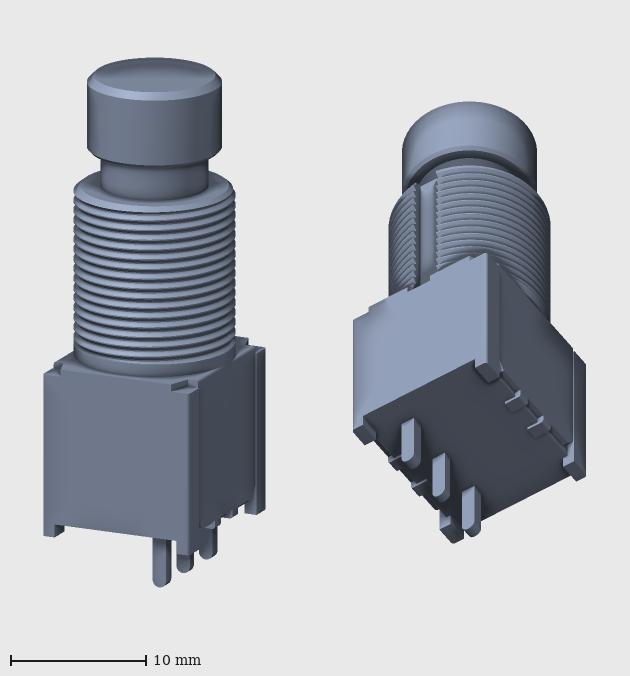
import cadquery as cq


housing_x = 12.0
housing_y = 13.4
corner_radius = 0.25
body_bottom = -12.0
foot_bottom = -13.0
foot_x = 1.0
window_y = 9.9

plate_thickness = 0.55
panel_recess = 0.1
panel_thickness = 0.5
panel_bottom = -11.55
panel_bend_radius = 0.25
panel_corner_y = 0.7
panel_corner_z = 0.8
notch_edge_x = 4.5
notch_inner_x = 5.1
tab_width = 1.0
tab_center_y = 1.5
tab_drop = 0.25
tab_thickness = 0.5

bushing_radius = 6.0
bushing_height = 13.0
bushing_chamfer_height = 0.4
bushing_chamfer_width = 0.5
slot_width = 2.0
slot_floor_y = 5.0

thread_pitch = 0.75
thread_depth = 0.3
groove_mouth = 0.66
groove_root = 0.1
thread_turns = 16.25
thread_start = 0.54
collar_height = 0.94

stem_radius = 4.0
cap_radius = 5.0
cap_top = 21.5
cap_bottom = 15.75
cap_top_chamfer = 0.5
cap_bottom_chamfer = 0.25

base_x = 9.0
base_y = 12.1

pin_x = 2.5
pin_width = 1.1
pin_spacing = 4.0
pin_tip = -16.5
outer_pin_thickness = 0.9
middle_pin_thickness = 0.7

plate_bottom = -plate_thickness
panel_outer_x = housing_x / 2 - panel_recess
panel_inner_x = panel_outer_x - panel_thickness
tab_bottom = body_bottom - tab_drop


def box(x_range, y_range, z_range):
    """Axis-aligned block between the given limits."""
    (x0, x1), (y0, y1), (z0, z1) = x_range, y_range, z_range
    return cq.Workplane("XY").box(x1 - x0, y1 - y0, z1 - z0, centered=False).translate((x0, y0, z0))


def centered_box(size_x, size_y, z_range):
    """Block centred on the Z axis."""
    return box((-size_x / 2, size_x / 2), (-size_y / 2, size_y / 2), z_range)


def thread_groove():
    """Right-handed helical groove of the bushing thread."""
    root_radius = bushing_radius - thread_depth
    overshoot = 0.1
    mouth_radius = bushing_radius + overshoot
    mouth = groove_mouth + overshoot * (groove_mouth - groove_root) / thread_depth
    path = cq.Wire.makeHelix(thread_pitch, thread_turns * thread_pitch, root_radius)
    groove = (
        cq.Workplane("XZ")
        .moveTo(root_radius, -groove_root / 2)
        .lineTo(mouth_radius, -mouth / 2)
        .lineTo(mouth_radius, mouth / 2)
        .lineTo(root_radius, groove_root / 2)
        .close()
        .sweep(cq.Workplane(path), isFrenet=True)
    )
    return groove.translate((0, 0, thread_start))


def make_bushing():
    """Threaded sleeve with a chamfered top, before its bore and key slot."""
    blank = (
        cq.Workplane("XZ")
        .moveTo(0, 0)
        .lineTo(bushing_radius, 0)
        .lineTo(bushing_radius, bushing_height - bushing_chamfer_height)
        .lineTo(bushing_radius - bushing_chamfer_width, bushing_height)
        .lineTo(0, bushing_height)
        .close()
        .revolve(360, (0, 0, 0), (0, 1, 0))
    )
    collar = cq.Workplane("XY").circle(bushing_radius).extrude(collar_height)
    return blank.cut(thread_groove()).union(collar)


def make_plate():
    """Top plate whose four corners are notched to show the posts."""
    end_y = housing_y / 2
    side_y = window_y / 2
    quarter = [(notch_edge_x, end_y), (notch_inner_x, side_y), (panel_outer_x, side_y)]
    outline = quarter + [(x, -y) for x, y in reversed(quarter)]
    outline += [(-x, -y) for x, y in quarter] + [(-x, y) for x, y in reversed(quarter)]
    return cq.Workplane("XY").polyline(outline).close().extrude(-plate_thickness)


def make_tab(center_y):
    """Crimp tab that hangs from the +X panel and is bent in under the housing wall."""
    y_range = (center_y - tab_width / 2, center_y + tab_width / 2)
    hanging = box((panel_inner_x, panel_outer_x), y_range, (tab_bottom, panel_bottom))
    bent = box((base_x / 2, panel_outer_x), y_range, (tab_bottom, tab_bottom + tab_thickness))
    return hanging.union(bent).edges("|Y and >X and <Z").fillet(panel_bend_radius)


def make_tabs():
    """The two crimp tabs of the +X panel."""
    return make_tab(tab_center_y).union(make_tab(-tab_center_y))


def make_panel():
    """Side panel on +X with clipped lower corners."""
    half = window_y / 2
    outline = [
        (half, 0),
        (half, panel_bottom + panel_corner_z),
        (half - panel_corner_y, panel_bottom),
        (-half + panel_corner_y, panel_bottom),
        (-half, panel_bottom + panel_corner_z),
        (-half, 0),
    ]
    plane = cq.Workplane("YZ", origin=(panel_inner_x, 0, 0))
    return plane.polyline(outline).close().extrude(panel_thickness)


def both_sides(shape):
    """The shape together with its mirror image across the YZ plane."""
    return shape.union(shape.mirror("YZ"))


def make_frame():
    """Plate, panels, tabs and bushing as one part."""
    sheet = make_plate().union(both_sides(make_panel()))
    bends = sheet.faces(">Z").edges("|Y").edges("<X or >X")
    sheet = bends.fillet(panel_bend_radius)
    sheet = sheet.union(both_sides(make_tabs()))
    bore = cq.Workplane("XY", origin=(0, 0, plate_bottom)).circle(stem_radius)
    bore = bore.extrude(bushing_height + plate_thickness)
    slot = box((-slot_width / 2, slot_width / 2), (slot_floor_y, housing_y), (plate_bottom, bushing_height))
    return sheet.union(make_bushing()).cut(bore).cut(slot)


def make_housing():
    """Open rectangular sleeve with four corner posts that end in feet."""
    block = centered_box(housing_x, housing_y, (foot_bottom, plate_bottom))
    block = block.edges("|Z").fillet(corner_radius)
    end_gap = centered_box(housing_x - 2 * foot_x, housing_y, (foot_bottom, body_bottom))
    side_gap = centered_box(housing_x, window_y, (foot_bottom, body_bottom))
    window = box((panel_inner_x, housing_x), (-window_y / 2, window_y / 2), (body_bottom, plate_bottom))
    cavity = centered_box(base_x, base_y, (body_bottom, plate_bottom))
    body = block.cut(end_gap).cut(side_gap).cut(both_sides(window)).cut(cavity)
    return body.cut(both_sides(make_tabs()))


def make_base():
    """Block that fills the housing sleeve."""
    return centered_box(base_x, base_y, (body_bottom, plate_bottom))


def make_button():
    """Push button: stem that slides in the bushing, with a wider cap."""
    stem = cq.Workplane("XY", origin=(0, 0, plate_bottom)).circle(stem_radius)
    stem = stem.extrude(cap_bottom - plate_bottom)
    cap = cq.Workplane("XY", origin=(0, 0, cap_bottom)).circle(cap_radius)
    cap = cap.extrude(cap_top - cap_bottom)
    cap = cap.faces(">Z").chamfer(cap_top_chamfer).faces("<Z").chamfer(cap_bottom_chamfer)
    return stem.union(cap)


def make_pin(center_y, thickness):
    """Flat terminal pin with a round tip."""
    radius = pin_width / 2
    tip_center = pin_tip + radius
    plane = cq.Workplane("XZ", origin=(pin_x, center_y + thickness / 2, 0))
    return (
        plane.moveTo(-radius, body_bottom)
        .lineTo(-radius, tip_center)
        .threePointArc((0, pin_tip), (radius, tip_center))
        .lineTo(radius, body_bottom)
        .close()
        .extrude(thickness)
    )


button = make_button()
frame = make_frame()
housing = make_housing()
base = make_base()
pins = [
    make_pin(center_y, thickness)
    for center_y, thickness in (
        (-pin_spacing, outer_pin_thickness),
        (0, middle_pin_thickness),
        (pin_spacing, outer_pin_thickness),
    )
]

bodies = [button, frame, housing, base] + pins
result = cq.Compound.makeCompound([body.solids().val() for body in bodies])